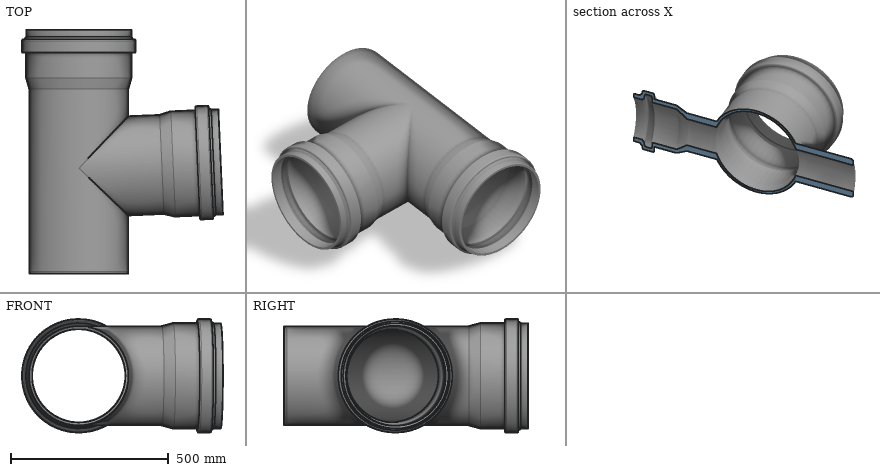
import cadquery as cq
import math

pipe_od = 315.3
bore_d = 295.3

total_length = 775.0
spigot_length = 336.0
main_reach = total_length - spigot_length
spigot_chamfer_length = 8.0
spigot_chamfer_depth = 1.6
spigot_shoulder_round = 12.0
spigot_end_round = 2.0

branch_lean = 2.5
outer_size_x = 638.05

lip_od = 334.7
lip_id = 317.1
body_od = 335.1
body_id = 317.5
bead_od = 360.8
groove_d = 343.2

lip_depth = 23.0
bead_start = 31.0
bead_end = 74.0
body_depth = 152.0
cone_depth = 188.0

wall = (bead_od - groove_d) / 2
bead_round = 5.0
flare_rise = 5.5
mouth_round = 2.0

lean = math.radians(branch_lean)
branch_tip_x = outer_size_x - bead_od / 2
mouth_round_center_x = branch_tip_x - mouth_round
mouth_round_center_r = lip_od / 2 - mouth_round
branch_reach = mouth_round + (
    mouth_round_center_x - mouth_round_center_r * math.sin(lean)
) / math.cos(lean)


def socket_profile(reach, lip_d, bead_d, body_d, pipe_d, end_inset):
    """Solid of revolution about Y, from the axis crossing to a socket mouth at y = reach.

    end_inset moves both ends of the bead towards its middle.
    """
    bead_r = bead_d / 2
    lip_r = lip_d / 2
    shoulder_r = bead_r - bead_round
    top = reach - bead_start - end_inset
    bottom = reach - bead_end + end_inset
    diagonal = bead_round * math.sqrt(0.5)
    return (
        cq.Workplane("XY")
        .lineTo(pipe_d / 2, 0)
        .lineTo(pipe_d / 2, reach - cone_depth)
        .lineTo(body_d / 2, reach - body_depth)
        .lineTo(body_d / 2, bottom)
        .lineTo(shoulder_r, bottom)
        .threePointArc(
            (shoulder_r + diagonal, bottom + bead_round - diagonal),
            (bead_r, bottom + bead_round),
        )
        .lineTo(bead_r, top - bead_round)
        .threePointArc(
            (shoulder_r + diagonal, top - bead_round + diagonal),
            (shoulder_r, top),
        )
        .lineTo(lip_r + flare_rise, top)
        .lineTo(lip_r, reach - lip_depth - end_inset)
        .lineTo(lip_r, reach)
        .lineTo(0, reach)
        .close()
        .revolve(360, (0, 0, 0), (0, 1, 0))
    )


def socket_outside(reach):
    outside = socket_profile(reach, lip_od, bead_od, body_od, pipe_od, 0)
    return outside.faces(">Y").edges().fillet(mouth_round)


def socket_bore(reach):
    return socket_profile(reach, lip_id, groove_d, body_id, bore_d, wall)


def spigot_outside():
    pipe_r = pipe_od / 2
    chamfer_start = spigot_chamfer_length - spigot_length
    chamfer_angle = math.atan2(spigot_chamfer_depth, spigot_chamfer_length)
    tangent = spigot_shoulder_round * math.tan(chamfer_angle / 2)
    arc_end = (
        pipe_r - tangent * math.sin(chamfer_angle),
        chamfer_start - tangent * math.cos(chamfer_angle),
    )
    spigot = (
        cq.Workplane("XY")
        .lineTo(pipe_r, 0)
        .lineTo(pipe_r, chamfer_start + tangent)
        .tangentArcPoint(arc_end, relative=False)
        .lineTo(pipe_r - spigot_chamfer_depth, -spigot_length)
        .lineTo(0, -spigot_length)
        .close()
        .revolve(360, (0, 0, 0), (0, 1, 0))
    )
    return spigot.faces("<Y").edges().fillet(spigot_end_round)


def spigot_bore():
    return cq.Workplane("XZ").circle(bore_d / 2).extrude(spigot_length)


def aim_along_branch(shape):
    return shape.rotate((0, 0, 0), (0, 0, 1), branch_lean - 90)


main_outside = spigot_outside().union(socket_outside(main_reach))
main_bore = spigot_bore().union(socket_bore(main_reach))
branch_outside = aim_along_branch(socket_outside(branch_reach))
branch_bore = aim_along_branch(socket_bore(branch_reach))

result = main_outside.union(branch_outside).cut(main_bore).cut(branch_bore)